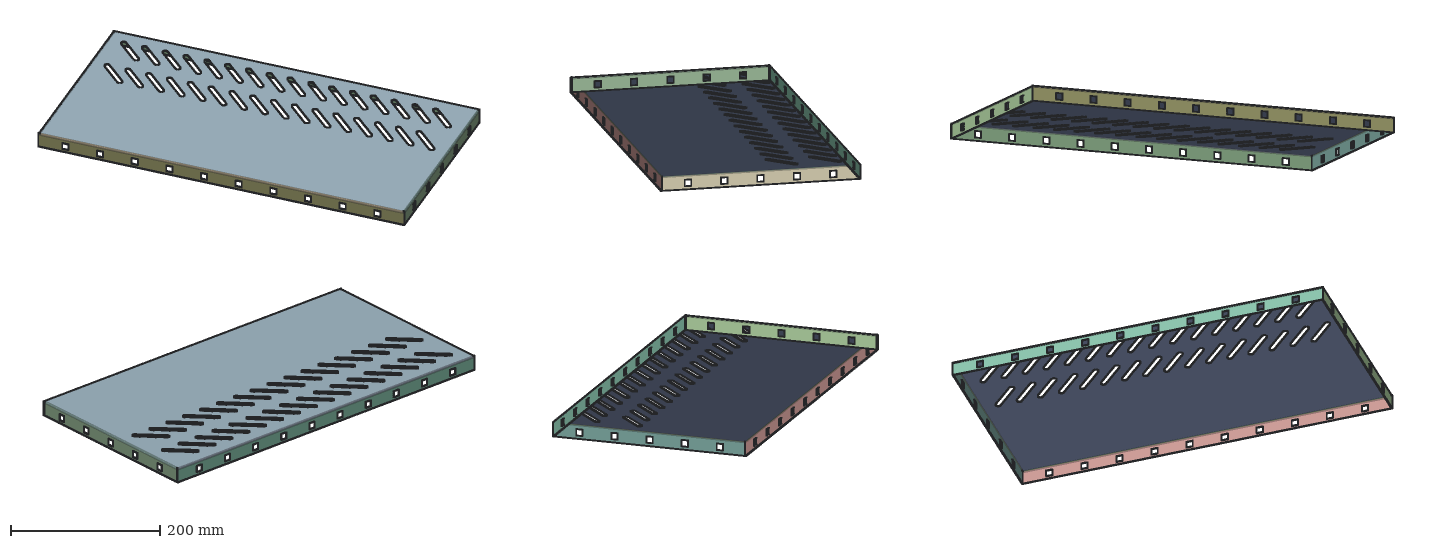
import cadquery as cq

length = 528.0
width = 275.0
height = 21.0
sheet = 1.5
bend_radius = 2.0

end_margin = 39.0

hole_size = 9.0
hole_height = 9.0
long_side_holes = 10
short_side_holes = 5
hole_pitch = (length - 2 * end_margin) / (long_side_holes - 1)

slot_width = 7.5
slot_length = 50.0
slot_angle = -45
slots_per_row = 16
slot_pitch = (length - 2 * end_margin) / (slots_per_row - 1)
row_pitch = 2 * slot_pitch
first_row_inset = 39.5


def centred_positions(count, pitch):
    """Evenly spaced positions about zero."""
    return [(i - (count - 1) / 2) * pitch for i in range(count)]


def folded_channel(plane, bend_edges, span, run):
    """Panel strip of the given run with a flange bent down at both ends of its span."""

    def rounded_bar(bar_span, bar_height, radius):
        bar = cq.Workplane(plane).rect(bar_span, 2 * bar_height).extrude(run / 2, both=True)
        return bar.edges(bend_edges).fillet(radius)

    outer = rounded_bar(span, height, bend_radius)
    inner = rounded_bar(span - 2 * sheet, height - sheet, bend_radius - sheet)
    above_flange_ends = cq.Workplane("XY").box(length, width, height, centered=(True, True, False))
    return outer.cut(inner).intersect(above_flange_ends)


def flange_hole_cutter(plane, count, reach):
    """Row of square bars that pierce a pair of opposite flanges."""
    centres = [(x, hole_height) for x in centred_positions(count, hole_pitch)]
    return (
        cq.Workplane(plane)
        .pushPoints(centres)
        .rect(hole_size, hole_size)
        .extrude(reach, both=True)
    )


short_run = width - 2 * bend_radius
long_channel = folded_channel("YZ", "|X", width, length)
short_channel = folded_channel("XZ", "|Y", length, short_run)

short_bend_clearance = (
    cq.Workplane("XY")
    .workplane(offset=height - bend_radius)
    .pushPoints([(-length / 2, 0), (length / 2, 0)])
    .rect(2 * bend_radius, short_run)
    .extrude(bend_radius)
)
result = long_channel.cut(short_bend_clearance).union(short_channel)

result = result.cut(flange_hole_cutter("XZ", long_side_holes, width))
result = result.cut(flange_hole_cutter("YZ", short_side_holes, length))

first_row = width / 2 - first_row_inset
slot_centres = [
    (x, y)
    for y in (first_row, first_row - row_pitch)
    for x in centred_positions(slots_per_row, slot_pitch)
]
slots = (
    cq.Workplane("XY")
    .workplane(offset=height / 2)
    .pushPoints(slot_centres)
    .slot2D(slot_length, slot_width, slot_angle)
    .extrude(height)
)
result = result.cut(slots)